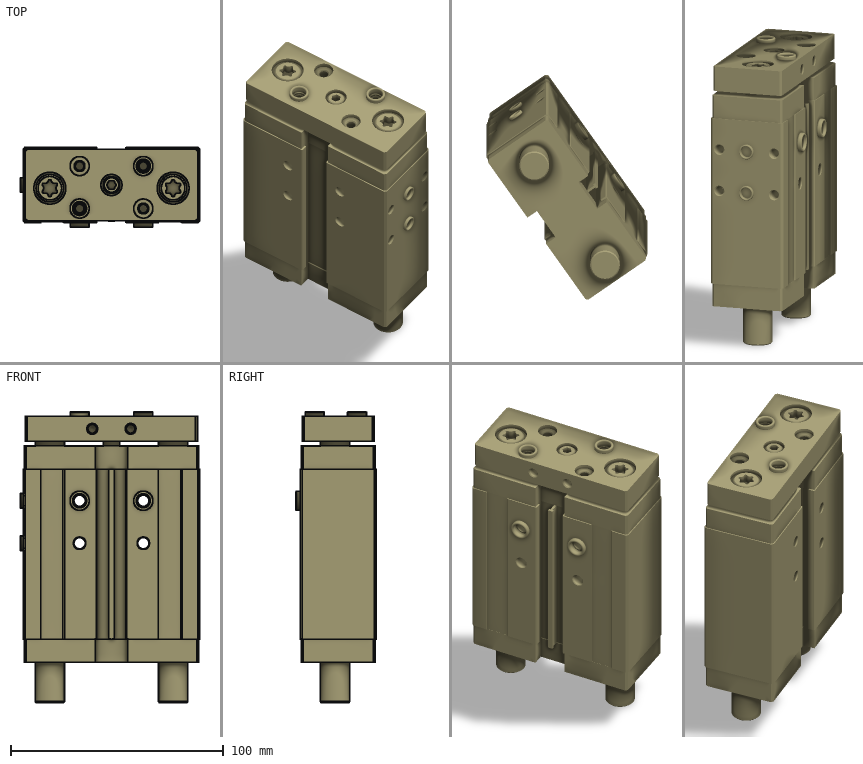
import cadquery as cq
import math

total_height = 136.8
sleeve_protrusion = 2.0
plate_thickness = 11.9
plate_gap = 2.0
cover_height = 11.0
profile_height = 80.0
plate_top = total_height - sleeve_protrusion
plate_bottom = plate_top - plate_thickness
housing_top = plate_bottom - plate_gap
profile_top = housing_top - cover_height
profile_bottom = profile_top - profile_height
housing_bottom = profile_bottom - cover_height

profile_width = 82.9
profile_depth = 35.7
step_in = 0.48
cover_width = profile_width - 2 * step_in
cover_depth = profile_depth - 2 * step_in
plate_width = cover_width - 2 * step_in
plate_depth = cover_depth - 2 * step_in
corner_chamfer = 1.0

slot_inner_width = 15.3
slot_mouth_width = 13.7
slot_mouth_chamfer = 0.4
slot_lip = 3.3
slot_depth = 6.4
cover_channel_depth = 5.5

rib_head_width = 2.5
rib_neck_width = 1.1
rib_head_thickness = 1.2
rib_setback = 0.8

groove_width = 11.4
groove_offset = 27.7
groove_depth = 0.5
groove_slope_width = 0.8

mount_x = 14.98
mount_spacing = 20.0
mount_upper_z = 95.0
mount_levels = (mount_upper_z, mount_upper_z - mount_spacing)
mount_bore = 5.3
mount_bore_chamfer = 0.3
plate_mount_y = -1.1
plate_hole_y = (plate_mount_y - mount_spacing / 2, plate_mount_y + mount_spacing / 2)

thread_bore = 4.1
thread_mouth = 5.0
thread_depth = 8.2
drill_tip_angle = 118.0
side_hole_y = 13.5
plate_front_hole_x = 9.0

sleeve_diameter = 9.0
sleeve_bore = 6.5
sleeve_lip_thickness = 0.8
sleeve_length = 2 * sleeve_protrusion
sleeve_seat_depth = sleeve_length - sleeve_protrusion

plug_diameter = 7.0
plug_bore = 5.3
plug_protrusion = 1.4
plug_seat_depth = 2.7
plug_bore_depth = 2.0

rod_diameter = 14.0
rod_x = 29.0
rod_y = -1.5
rod_foot_chamfer = 0.5
rod_head_diameter = 13.0
rod_head_chamfer = 1.0
rod_recess_diameter = 15.0
rod_recess_depth = 2.0
rod_sink = 0.7
star_tip_radius = 4.0
star_flank_radius = 3.4
star_valley_radius = 2.9
star_lobe_half_angle = 12.0
star_depth = 4.1
star_lobes = 6

piston_rod_diameter = 8.0
piston_recess_diameter = 10.0
piston_recess_depth = 2.0
piston_sink = 0.5
piston_head_chamfer = 0.5
hex_across_flats = 4.0
hex_depth = 4.1


def chamfered_block(width, depth, bottom, top):
    """Upright block centred on the Z axis with chamfered vertical corners."""
    block = cq.Workplane("XY").workplane(offset=bottom).rect(width, depth).extrude(top - bottom)
    return block.edges("|Z").chamfer(corner_chamfer)


def cylinder(point, direction, diameter, length):
    """Cylinder that starts at a point and runs along a direction."""
    return cq.Workplane(cq.Solid.makeCylinder(diameter / 2, length, cq.Vector(point), cq.Vector(direction)))


def cone(point, direction, start_diameter, end_diameter, length):
    """Cone that starts at a point and runs along a direction."""
    return cq.Workplane(
        cq.Solid.makeCone(start_diameter / 2, end_diameter / 2, length, cq.Vector(point), cq.Vector(direction))
    )


def offset_point(point, direction, distance):
    return (cq.Vector(point) + cq.Vector(direction) * distance).toTuple()


def round_rimmed_ring(inner_diameter, outer_diameter, height):
    """Ring along Z, standing on Z = 0, whose wall ends in a half-round rim at the top."""
    inner = inner_diameter / 2
    outer = outer_diameter / 2
    rim_start = height - (outer - inner) / 2
    wall = cq.Workplane("XZ").moveTo(inner, 0).lineTo(outer, 0).lineTo(outer, rim_start)
    wall = wall.threePointArc(((inner + outer) / 2, height), (inner, rim_start)).close()
    return wall.revolve(360, (0, 0, 0), (0, 1, 0))


def countersink(point, direction):
    """45 degree lead-in from the thread mouth down to the thread bore."""
    depth = (thread_mouth - thread_bore) / 2
    return cone(point, direction, thread_mouth, thread_bore, depth)


def threaded_hole(point, direction):
    """Blind drilled hole with a countersunk mouth and a conical bottom."""
    tip_length = thread_bore / 2 / math.tan(math.radians(drill_tip_angle / 2))
    tip = cone(offset_point(point, direction, thread_depth), direction, thread_bore, 0, tip_length)
    return cylinder(point, direction, thread_bore, thread_depth).union(countersink(point, direction)).union(tip)


def slot_cutter():
    """T-slot in the front face, open along the whole profile."""
    face = -profile_depth / 2
    mouth = slot_mouth_width / 2
    inner = slot_inner_width / 2
    half = [
        (mouth + slot_mouth_chamfer, face),
        (mouth, face + slot_mouth_chamfer),
        (mouth, face + slot_lip),
        (inner, face + slot_lip),
        (inner, face + slot_depth),
    ]
    outline = half + [(-x, y) for x, y in reversed(half)]
    return cq.Workplane("XY").workplane(offset=profile_bottom).polyline(outline).close().extrude(profile_height)


def cover_channel_cutter(bottom):
    """Plain channel in the front face of an end cover."""
    channel = cq.Workplane("XY").box(
        slot_inner_width, cover_channel_depth, cover_height, centered=(True, False, False)
    )
    return channel.translate((0, -cover_depth / 2, bottom))


def slot_rib():
    """T-shaped rib that stands on the floor of the front slot."""
    front = -profile_depth / 2 + rib_setback
    floor = -profile_depth / 2 + slot_depth
    corner_based = (True, False, False)
    head = cq.Workplane("XY").box(rib_head_width, rib_head_thickness, profile_height, centered=corner_based)
    neck = cq.Workplane("XY").box(rib_neck_width, floor - front, profile_height, centered=corner_based)
    return head.union(neck).translate((0, front, profile_bottom))


def groove_cutter(center_x):
    """Shallow front groove, square on its -X flank and sloped on its +X flank."""
    face = -profile_depth / 2
    floor = face + groove_depth
    left = center_x - groove_width / 2
    right = center_x + groove_width / 2
    outline = [(left, face), (left, floor), (right - groove_slope_width, floor), (right, face)]
    return cq.Workplane("XY").workplane(offset=profile_bottom).polyline(outline).close().extrude(profile_height)


def make_housing():
    housing = chamfered_block(profile_width, profile_depth, profile_bottom, profile_top)
    for bottom in (housing_bottom, profile_top):
        housing = housing.union(chamfered_block(cover_width, cover_depth, bottom, bottom + cover_height))

    front_channel = slot_cutter()
    for bottom in (housing_bottom, profile_top):
        front_channel = front_channel.union(cover_channel_cutter(bottom))
    housing = housing.cut(front_channel).cut(front_channel.mirror("XZ")).union(slot_rib())

    for side in (-1, 1):
        housing = housing.cut(groove_cutter(side * groove_offset))

    for side in (-1, 1):
        housing = housing.cut(cylinder((side * rod_x, rod_y, 0), (0, 0, 1), rod_diameter, total_height))
    housing = housing.cut(cylinder((0, 0, profile_top), (0, 0, 1), piston_rod_diameter, cover_height))

    front = -profile_depth / 2
    mouth = mount_bore + 2 * mount_bore_chamfer
    for side in (-1, 1):
        for z in mount_levels:
            start = (side * mount_x, front, z)
            housing = housing.cut(cylinder(start, (0, 1, 0), mount_bore, profile_depth))
            housing = housing.cut(cone(start, (0, 1, 0), mouth, mount_bore, mount_bore_chamfer))
        seat = (side * mount_x, front, mount_upper_z)
        housing = housing.cut(cylinder(seat, (0, 1, 0), sleeve_diameter, sleeve_seat_depth))

    for z in mount_levels:
        housing = housing.cut(cylinder((-profile_width / 2, 0, z), (1, 0, 0), plug_diameter, plug_seat_depth))
        for side in (-1, 1):
            housing = housing.cut(threaded_hole((-profile_width / 2, side * side_hole_y, z), (1, 0, 0)))
    return housing


def make_yoke_plate():
    plate = chamfered_block(plate_width, plate_depth, plate_bottom, plate_top)
    down = (0, 0, -1)

    for side in (-1, 1):
        top_center = (side * rod_x, rod_y, plate_top)
        plate = plate.cut(cylinder(top_center, down, rod_head_diameter, plate_thickness))
        plate = plate.cut(cylinder(top_center, down, rod_recess_diameter, rod_recess_depth))

    for side in (-1, 1):
        for y in plate_hole_y:
            top_center = (side * mount_x, y, plate_top)
            plate = plate.cut(cylinder(top_center, down, sleeve_diameter, sleeve_seat_depth))
            plate = plate.cut(cylinder(top_center, down, thread_bore, plate_thickness))
            plate = plate.cut(countersink(offset_point(top_center, down, sleeve_seat_depth), down))

    for side in (-1, 1):
        start = (side * plate_front_hole_x, -plate_depth / 2, (plate_bottom + plate_top) / 2)
        plate = plate.cut(threaded_hole(start, (0, 1, 0)))

    plate = plate.cut(cylinder((0, 0, plate_top), down, piston_recess_diameter, piston_recess_depth))
    head_top = plate_top - piston_sink
    rod = cylinder((0, 0, profile_top), (0, 0, 1), piston_rod_diameter, head_top - profile_top)
    rod = rod.faces(">Z").chamfer(piston_head_chamfer)
    hex_corners = hex_across_flats / math.cos(math.pi / 6)
    socket = cq.Workplane("XY").workplane(offset=head_top).polygon(6, hex_corners).extrude(-hex_depth)
    return plate.union(rod).cut(socket)


def polar(radius, degrees):
    angle = math.radians(degrees)
    return (radius * math.cos(angle), radius * math.sin(angle))


def star_socket(top):
    """Six-lobed socket, cut down from the given height, with a lobe pointing along Y."""
    pitch = 360 / star_lobes
    first = 90.0
    outline = cq.Workplane("XY").workplane(offset=top)
    outline = outline.moveTo(*polar(star_flank_radius, first - star_lobe_half_angle))
    for lobe in range(star_lobes):
        angle = first + lobe * pitch
        outline = outline.threePointArc(
            polar(star_tip_radius, angle), polar(star_flank_radius, angle + star_lobe_half_angle)
        )
        outline = outline.threePointArc(
            polar(star_valley_radius, angle + pitch / 2),
            polar(star_flank_radius, angle + pitch - star_lobe_half_angle),
        )
    return outline.close().extrude(-star_depth)


def make_guide_rod(side):
    """Guide rod that shoulders against the plate, with a thinner head through it."""
    top = plate_top - rod_sink
    rod = cylinder((0, 0, 0), (0, 0, 1), rod_diameter, plate_bottom)
    rod = rod.faces("<Z").chamfer(rod_foot_chamfer)
    head = cylinder((0, 0, plate_bottom), (0, 0, 1), rod_head_diameter, top - plate_bottom)
    rod = rod.union(head.faces(">Z").chamfer(rod_head_chamfer))
    return rod.cut(star_socket(top)).translate((side * rod_x, rod_y, 0))


def make_sleeve():
    """Sleeve along Z, standing on Z = 0, with a rounded rim at its free end and a lip inside its foot."""
    lip = cq.Workplane("XY").circle(sleeve_diameter / 2).circle(mount_bore / 2).extrude(sleeve_lip_thickness)
    return round_rimmed_ring(sleeve_bore, sleeve_diameter, sleeve_length).union(lip)


def make_plate_sleeve(x, y):
    return make_sleeve().translate((x, y, plate_top - sleeve_seat_depth))


def make_housing_sleeve(side):
    sleeve = make_sleeve().rotate((0, 0, 0), (1, 0, 0), 90)
    return sleeve.translate((side * mount_x, -profile_depth / 2 + sleeve_seat_depth, mount_upper_z))


def make_port_plug(z):
    """Cup-shaped plug, open toward -X."""
    length = plug_protrusion + plug_seat_depth
    floor = cq.Workplane("XY").circle(plug_diameter / 2).extrude(length - plug_bore_depth)
    plug = round_rimmed_ring(plug_bore, plug_diameter, length).union(floor)
    return plug.rotate((0, 0, 0), (0, 1, 0), -90).translate((-profile_width / 2 + plug_seat_depth, 0, z))


housing = make_housing()
yoke_plate = make_yoke_plate()
guide_rods = [make_guide_rod(side) for side in (-1, 1)]
sleeves = [make_plate_sleeve(side * mount_x, y) for side, y in zip((-1, 1), plate_hole_y)]
sleeves += [make_housing_sleeve(side) for side in (-1, 1)]
port_plugs = [make_port_plug(z) for z in mount_levels]

bodies = [housing, yoke_plate, *guide_rods, *sleeves, *port_plugs]
result = cq.Compound.makeCompound([body.val() for body in bodies])